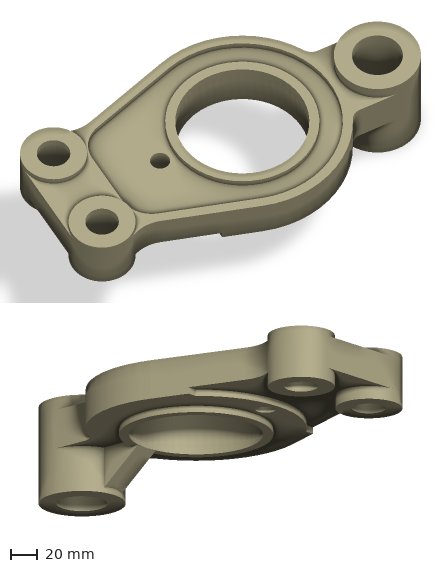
import cadquery as cq
import math


plate_top = 30.0
plate_radius = 82.5
rim_width = 7.5
taper_angle = math.radians(18.0)
arm_underside = 5.0
step_y = -55.0

bore_radius = 50.0
ring_radius = bore_radius + rim_width
ring_bottom = -5.0
ring_top = plate_top

pocket_depth = 5.0
pocket_radius = plate_radius - rim_width
pocket_corner_radius = 25.0

large_boss_y = 115.0
large_boss_radius = 32.5
large_hole_radius = 19.0
large_boss_bottom = -35.0
large_boss_top = 40.0
neck_fillet = 10.0

small_boss_x = 37.5
small_boss_y = -140.0
small_boss_radius = 25.0
small_hole_radius = 12.5
small_boss_bottom = -5.0
small_boss_top = 35.0
arm_fillet = 30.0

web_hole_y = -70.0
web_hole_radius = 7.5

rib_width = 20.0
rib_foot_z = -30.0
rib_overlap = 3.0


def cylinder(x, y, radius, bottom, top):
    return cq.Workplane("XY", origin=(x, y, bottom)).circle(radius).extrude(top - bottom)


def polar(radius, angle, center=(0.0, 0.0)):
    return (center[0] + radius * math.cos(angle), center[1] + radius * math.sin(angle))


def mirrored(point):
    return (-point[0], point[1])


def flank_x(radius, y):
    """X of the flank line tangent to a circle of the given radius about the origin."""
    return (radius + y * math.sin(taper_angle)) / math.cos(taper_angle)


def plate_outline():
    """Closed outline: neck, round body, tapered flanks and the arm between the small bosses.

    It stops at the boss centres, where the bosses themselves complete the part.
    """
    neck_center_x = large_boss_radius + neck_fillet
    neck_center_y = math.sqrt((plate_radius + neck_fillet) ** 2 - neck_center_x**2)
    neck_angle = math.atan2(neck_center_y, neck_center_x)
    neck_end = (large_boss_radius, neck_center_y)
    body_start = polar(plate_radius, neck_angle)
    neck_mid = polar(neck_fillet, math.pi + neck_angle / 2, (neck_center_x, neck_center_y))
    body_end = polar(plate_radius, -taper_angle)

    boss = (small_boss_x, small_boss_y)
    boss_across = boss[0] * math.cos(taper_angle) - boss[1] * math.sin(taper_angle)
    boss_along = -boss[0] * math.sin(taper_angle) - boss[1] * math.cos(taper_angle)
    center_across = plate_radius + arm_fillet
    reach = math.sqrt((small_boss_radius + arm_fillet) ** 2 - (center_across - boss_across) ** 2)
    center_along = boss_along - reach
    arm_center = (
        center_across * math.cos(taper_angle) - center_along * math.sin(taper_angle),
        -center_across * math.sin(taper_angle) - center_along * math.cos(taper_angle),
    )
    boss_angle = math.atan2(arm_center[1] - boss[1], arm_center[0] - boss[0])
    flank_end = polar(arm_fillet, math.pi - taper_angle, arm_center)
    arm_mid = polar(arm_fillet, math.pi + (boss_angle - taper_angle) / 2, arm_center)
    boss_start = polar(small_boss_radius, boss_angle, boss)
    boss_end = (small_boss_x, small_boss_y - small_boss_radius)

    return (
        cq.Workplane("XY")
        .moveTo(large_boss_radius, large_boss_y)
        .lineTo(*neck_end)
        .threePointArc(neck_mid, body_start)
        .threePointArc((plate_radius, 0.0), body_end)
        .lineTo(*flank_end)
        .threePointArc(arm_mid, boss_start)
        .lineTo(*boss)
        .lineTo(*boss_end)
        .lineTo(*mirrored(boss_end))
        .lineTo(*mirrored(boss))
        .lineTo(*mirrored(boss_start))
        .threePointArc(mirrored(arm_mid), mirrored(flank_end))
        .lineTo(*mirrored(body_end))
        .threePointArc((-plate_radius, 0.0), mirrored(body_start))
        .threePointArc(mirrored(neck_mid), mirrored(neck_end))
        .lineTo(-large_boss_radius, large_boss_y)
        .close()
    )


def make_plate():
    plate = plate_outline().extrude(plate_top)
    relief_length = step_y - (small_boss_y - small_boss_radius)
    relief = cq.Workplane("XY").box(
        2 * plate_radius, relief_length, arm_underside, centered=(True, False, False)
    ).translate((0, step_y - relief_length, 0))
    relief = relief.cut(cylinder(0, 0, plate_radius, 0, arm_underside))
    return plate.cut(relief)


def make_pocket():
    """Recess that follows the rim, with rounded corners at its -Y end."""
    side = polar(pocket_radius, -taper_angle)
    end_y = small_boss_y + small_boss_radius
    corner = (flank_x(pocket_radius, end_y), end_y)
    return (
        cq.Workplane("XY", origin=(0, 0, plate_top - pocket_depth))
        .moveTo(*side)
        .lineTo(*corner)
        .lineTo(*mirrored(corner))
        .lineTo(*mirrored(side))
        .threePointArc((0.0, pocket_radius), side)
        .close()
        .extrude(pocket_depth)
        .edges("|Z and <Y")
        .fillet(pocket_corner_radius)
    )


def make_rib():
    """Triangular web sloping from the large boss up to the lower edge of the bore."""
    boss_front_y = large_boss_y - large_boss_radius
    slope = (rib_foot_z - ring_bottom) / (boss_front_y - bore_radius)
    buried_y = boss_front_y + rib_overlap
    buried_z = ring_bottom + slope * (buried_y - bore_radius)
    return (
        cq.Workplane("YZ")
        .moveTo(bore_radius, ring_bottom)
        .lineTo(buried_y, buried_z)
        .lineTo(buried_y, 0)
        .lineTo(bore_radius, 0)
        .close()
        .extrude(rib_width / 2, both=True)
    )


def make_part():
    body = make_plate().cut(make_pocket())
    body = body.union(cylinder(0, large_boss_y, large_boss_radius, large_boss_bottom, large_boss_top))
    body = body.union(make_rib())
    body = body.union(cylinder(0, 0, ring_radius, ring_bottom, ring_top))
    for side in (-1, 1):
        boss_x = side * small_boss_x
        body = body.union(cylinder(boss_x, small_boss_y, small_boss_radius, small_boss_bottom, small_boss_top))
        body = body.cut(cylinder(boss_x, small_boss_y, small_hole_radius, small_boss_bottom, small_boss_top))
    body = body.cut(cylinder(0, large_boss_y, large_hole_radius, large_boss_bottom, large_boss_top))
    body = body.cut(cylinder(0, 0, bore_radius, large_boss_bottom, ring_top))
    return body.cut(cylinder(0, web_hole_y, web_hole_radius, 0, plate_top))


result = make_part()